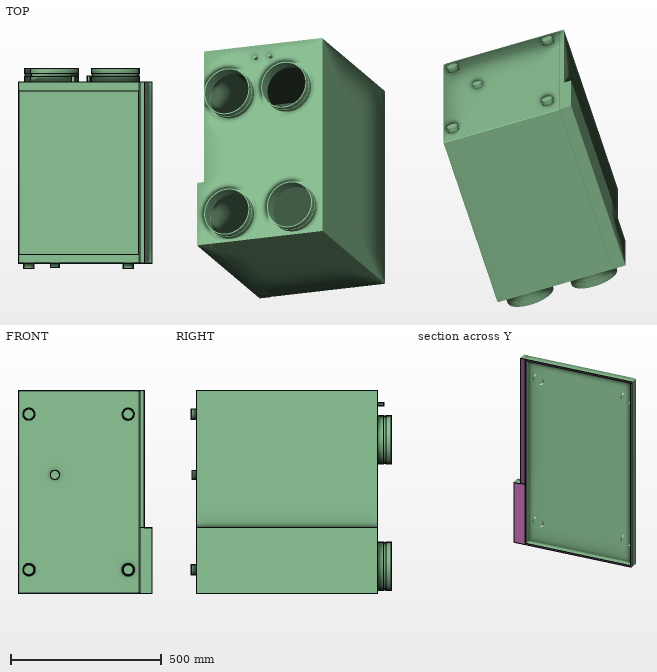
import cadquery as cq

HEIGHT = 675.0
HOUSING_WIDTH = 403.5
HOUSING_LENGTH = 603.0
EDGE_RADIUS = 3.05
DOOR_EDGE_RADIUS = 4.0
WALL = 7.0

LID_END_MARGIN = 30.5

DOOR_THICKNESS = 15.5
DOOR_SETBACK = 1.0
OVERALL_WIDTH = 445.0
CONTROL_BOX_HEIGHT = 219.0

FOOT_DIAMETER = 34.5
FOOT_HOLE_DIAMETER = 40.5
FOOT_PROJECTION = 17.0
FOOT_X_MARGIN = 35.0
FOOT_Z_MARGIN = 79.0
FOOT_X_SPACING = 330.0

DRAIN_DIAMETER = 30.5
DRAIN_PROJECTION = 14.0
DRAIN_X = 121.5
DRAIN_Z = 394.0

DUCT_DIAMETER = 160.0
DUCT_WALL = 3.5
DUCT_LENGTH = 45.0
DUCT_GROOVE_DEPTH = 1.5
DUCT_GROOVE_WIDTH = 9.0
DUCT_RIM_LENGTH = 17.5
DUCT_UPPER_Z = 511.0
DUCT_LOWER_Z = 90.5
DUCT_UPPER_LEFT_X = 121.0
DUCT_LOWER_LEFT_X = 100.5
DUCT_RIGHT_X = 322.5
DUCT_CENTRES = [
    (DUCT_UPPER_LEFT_X, DUCT_UPPER_Z),
    (DUCT_LOWER_LEFT_X, DUCT_LOWER_Z),
    (DUCT_RIGHT_X, DUCT_UPPER_Z),
    (DUCT_RIGHT_X, DUCT_LOWER_Z),
]

GLAND_DIAMETER = 11.0
GLAND_LENGTH = 20.0
GLAND_Z = 629.0
GLAND_XS = [182.0, 234.0]

FOOT_CENTRES = [
    (x, z)
    for x in (FOOT_X_MARGIN, FOOT_X_MARGIN + FOOT_X_SPACING)
    for z in (FOOT_Z_MARGIN, HEIGHT - FOOT_Z_MARGIN)
]


def block(x_range, y_range, z_range):
    """Box between the given limits along each axis."""
    (x0, x1), (y0, y1), (z0, z1) = x_range, y_range, z_range
    return cq.Workplane("XY").box(x1 - x0, y1 - y0, z1 - z0, centered=False).translate((x0, y0, z0))


def rod(centre, diameter, y_start, y_end):
    """Round bar along Y about the (x, z) centre."""
    x, z = centre
    start = cq.Vector(x, y_start, z)
    bar = cq.Solid.makeCylinder(diameter / 2, y_end - y_start, start, cq.Vector(0, 1, 0))
    return cq.Workplane(obj=bar)


def make_lid():
    return block(
        (EDGE_RADIUS, HOUSING_WIDTH - DOOR_EDGE_RADIUS),
        (LID_END_MARGIN, HOUSING_LENGTH - LID_END_MARGIN),
        (HEIGHT - WALL, HEIGHT),
    )


def make_duct(centre):
    """Duct collar with a groove behind its end rim."""
    duct_end = HOUSING_LENGTH + DUCT_LENGTH
    groove_end = duct_end - DUCT_RIM_LENGTH
    groove_start = groove_end - DUCT_GROOVE_WIDTH
    groove_floor = DUCT_DIAMETER - 2 * DUCT_GROOVE_DEPTH
    neck = rod(centre, DUCT_DIAMETER, HOUSING_LENGTH, groove_start)
    groove = rod(centre, groove_floor, groove_start, groove_end)
    rim = rod(centre, DUCT_DIAMETER, groove_end, duct_end)
    return neck.union(groove).union(rim)


def make_duct_bore(centre):
    """Air passage through the duct collar and the +Y wall."""
    bore_diameter = DUCT_DIAMETER - 2 * DUCT_WALL
    return rod(centre, bore_diameter, HOUSING_LENGTH - WALL, HOUSING_LENGTH + DUCT_LENGTH)


def make_housing(lid):
    """Cabinet with ducts, glands and drain, open for the lid, the feet and the air."""
    cabinet = block((0, HOUSING_WIDTH), (0, HOUSING_LENGTH), (0, HEIGHT))
    cabinet = cabinet.edges(">X and (not >Y)").fillet(DOOR_EDGE_RADIUS)
    cabinet = cabinet.edges("(<X and (not >Y)) or (<Y and |X)").fillet(EDGE_RADIUS)
    cavity = block(
        (WALL, HOUSING_WIDTH - WALL),
        (WALL, HOUSING_LENGTH - WALL),
        (WALL, HEIGHT - WALL),
    )
    cabinet = cabinet.cut(cavity).cut(lid)
    for centre in FOOT_CENTRES:
        cabinet = cabinet.cut(rod(centre, FOOT_HOLE_DIAMETER, 0, WALL))
    for centre in DUCT_CENTRES:
        cabinet = cabinet.union(make_duct(centre))
        cabinet = cabinet.cut(make_duct_bore(centre))
    for x in GLAND_XS:
        gland = rod((x, GLAND_Z), GLAND_DIAMETER, HOUSING_LENGTH, HOUSING_LENGTH + GLAND_LENGTH)
        cabinet = cabinet.union(gland)
    return cabinet.union(rod((DRAIN_X, DRAIN_Z), DRAIN_DIAMETER, -DRAIN_PROJECTION, 0))


def make_door():
    return block(
        (HOUSING_WIDTH, HOUSING_WIDTH + DOOR_THICKNESS),
        (DOOR_SETBACK, HOUSING_LENGTH),
        (CONTROL_BOX_HEIGHT, HEIGHT),
    )


def make_control_box():
    return block((HOUSING_WIDTH, OVERALL_WIDTH), (0, HOUSING_LENGTH), (0, CONTROL_BOX_HEIGHT))


def make_foot(centre):
    """Foot ending level with the inside of the -Y wall."""
    return rod(centre, FOOT_DIAMETER, -FOOT_PROJECTION, WALL)


lid = make_lid()
housing = make_housing(lid)
door = make_door()
control_box = make_control_box()
feet = [make_foot(centre).val() for centre in FOOT_CENTRES]

result = cq.Compound.makeCompound(
    [housing.val(), lid.val(), door.val(), control_box.val(), *feet]
)